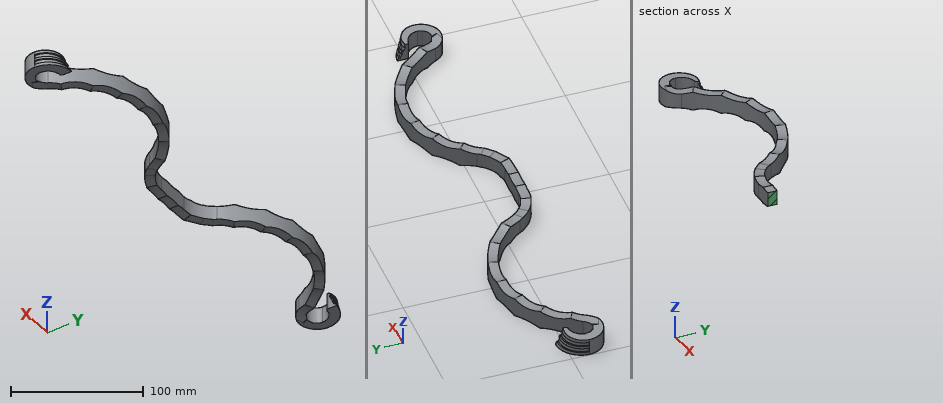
import cadquery as cq
import math

strip_width = 8.0
half_width = strip_width / 2
hook_height = 14.5
crest_height = 16.0
valley_height = 12.0

overall_length = 400.5
overall_depth = 60.0
hook_radius = 12.0
bow_radius = 73.0
hook_x = overall_length / 2 - hook_radius - half_width
hook_y = hook_radius + half_width
bow_y = overall_depth - half_width - bow_radius
bow_x = hook_x - math.sqrt((bow_radius + hook_radius) ** 2 - (hook_y - bow_y) ** 2)
straight_half = 15.2
bend_x = straight_half
bow_drop = half_width - bow_y
bend_radius = ((bow_x - bend_x) ** 2 + bow_drop ** 2 - bow_radius ** 2) / (2 * (bow_radius - bow_drop))
bend_y = half_width + bend_radius
hook_join_angle = math.degrees(math.atan2(hook_y - bow_y, hook_x - bow_x))
bend_join_angle = math.degrees(math.atan2(bend_y - bow_y, bend_x - bow_x))

first_crest_angle = 30.0
scallop_pitch = 18.3
scallop_count = 7
scallop_chord = bow_radius * math.radians(scallop_pitch)
scallop_depth = (crest_height - valley_height) / 2
scallop_radius = scallop_chord ** 2 / (8 * scallop_depth) + scallop_depth / 2
scallop_length = 2 * strip_width
bend_scallop_angles = (270, 302, 316)

tip_x = 180.0
tip_inner_y = 27.0
tip_top_y = 30.0
tip_bottom_y = 36.5
tip_rounding = 2.0
groove_height = 3.5
groove_depth = 1.2
groove_gap = 2.0


def polar(center_x, center_y, radius, angle):
    turn = math.radians(angle)
    return (center_x + radius * math.cos(turn), center_y + radius * math.sin(turn))


def ring_sector(center_x, center_y, radius, start, end, height):
    """Curved strip of constant width between two angles, centred on Z = 0."""
    middle = (start + end) / 2
    inner = radius - half_width
    outer = radius + half_width
    return (
        cq.Workplane("XY", origin=(0, 0, -height / 2))
        .moveTo(*polar(center_x, center_y, outer, start))
        .threePointArc(polar(center_x, center_y, outer, middle), polar(center_x, center_y, outer, end))
        .lineTo(*polar(center_x, center_y, inner, end))
        .threePointArc(polar(center_x, center_y, inner, middle), polar(center_x, center_y, inner, start))
        .close()
        .extrude(height)
    )


def scallop_pair(x, y, angle):
    """Cylinders across the strip, dipping into its top and bottom edges."""
    direction = cq.Vector(*polar(0, 0, 1, angle), 0)
    start = cq.Vector(x, y, 0) - direction * (scallop_length / 2)
    lift = cq.Vector(0, 0, valley_height / 2 + scallop_radius)
    top = cq.Solid.makeCylinder(scallop_radius, scallop_length, start + lift, direction)
    bottom = cq.Solid.makeCylinder(scallop_radius, scallop_length, start - lift, direction)
    return cq.Workplane(obj=top).add(bottom)


def plain_strip():
    """Bow, bend and half of the straight middle, at full height."""
    strip = ring_sector(bow_x, bow_y, bow_radius, hook_join_angle, bend_join_angle, crest_height)
    strip = strip.union(
        ring_sector(bend_x, bend_y, bend_radius, 270, bend_join_angle + 180, crest_height)
    )
    middle = cq.Workplane("XY").box(straight_half, strip_width, crest_height)
    strip = strip.union(middle.translate((straight_half / 2, half_width, 0)))
    return strip


def scallop_places():
    """Position and across-the-strip direction of every scallop, middle first."""
    places = [(0, half_width, 90)]
    for index in range(-1, scallop_count):
        angle = first_crest_angle + (index + 0.5) * scallop_pitch
        places.append((*polar(bow_x, bow_y, bow_radius, angle), angle))
    for angle in bend_scallop_angles:
        places.append((*polar(bend_x, bend_y, bend_radius, angle), angle))
    return places


def tip_section(z, end_y, inset):
    """Plan outline of the hook tip at one level; inset moves its outer side inwards."""
    up = cq.Vector(0, 1, 0)
    outer_start = cq.Vector(hook_x + hook_radius + half_width - inset, hook_y, z)
    inner_start = cq.Vector(hook_x + hook_radius - half_width, hook_y, z)
    outer_end = cq.Vector(tip_x, end_y - inset, z)
    inner_end = cq.Vector(tip_x, tip_inner_y, z)
    return cq.Wire.assembleEdges([
        cq.Edge.makeTangentArc(outer_start, up, outer_end),
        cq.Edge.makeLine(outer_end, inner_end),
        cq.Edge.makeTangentArc(inner_start, up, inner_end),
        cq.Edge.makeLine(inner_start, outer_start),
    ])


def tip_body(inset):
    bottom = tip_section(-hook_height / 2, tip_bottom_y, inset)
    top = tip_section(hook_height / 2, tip_top_y, inset)
    return cq.Workplane(obj=cq.Solid.makeLoft([bottom, top], True))


def hook():
    """Hook ring and its leaning tip with two grooves along the outside."""
    ring = ring_sector(hook_x, hook_y, hook_radius, hook_join_angle - 180, 0, hook_height)
    grooved = tip_body(0)
    skin = grooved.cut(tip_body(groove_depth))
    for side in (-1, 1):
        groove_z = side * (groove_gap + groove_height) / 2
        band = cq.Workplane("XY").box(overall_length, overall_length, groove_height)
        grooved = grooved.cut(skin.intersect(band.translate((hook_x, hook_y, groove_z))))
    inner_corner = cq.selectors.NearestToPointSelector((tip_x, tip_inner_y, 0))
    grooved = grooved.edges(inner_corner).fillet(tip_rounding)
    return ring.union(grooved)


half = plain_strip().union(hook())
for place in scallop_places():
    for cutter in scallop_pair(*place).vals():
        half = half.cut(cq.Workplane(obj=cutter))
result = half.union(half.mirror("YZ"))